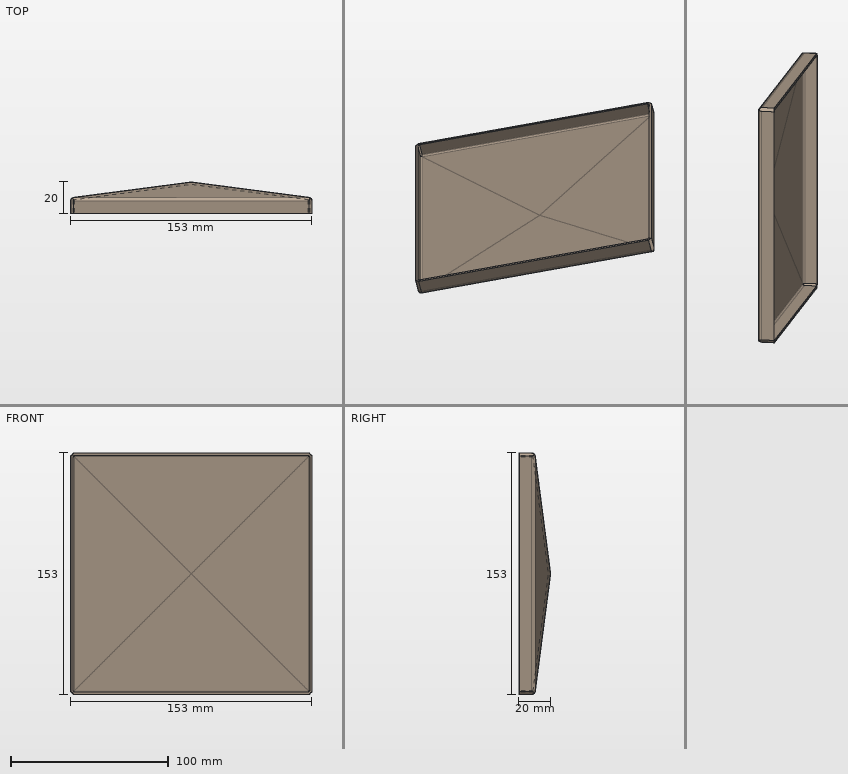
import cadquery as cq
import math

side = 153.0
total_height = 20.0
rim_height = 10.0
sheet = 1.5
inner_bend_radius = 1.0
corner_chamfer = 2.0

outer_bend_radius = inner_bend_radius + sheet
half_side = side / 2
slope = math.atan((total_height - rim_height) / half_side)


def roof_prism(half_width, eave, apex, bend_radius):
    """Gabled prism along Z whose walls bend smoothly into the roof."""
    half_bend_angle = (math.pi / 2 - slope) / 2
    bend_setback = bend_radius * math.tan(half_bend_angle)
    bend_start = eave - bend_setback
    bend_center_x = half_width - bend_radius
    mid_x = bend_center_x + bend_radius * math.cos(half_bend_angle)
    mid_y = bend_start + bend_radius * math.sin(half_bend_angle)
    end_x = half_width - bend_setback * math.cos(slope)
    end_y = eave + bend_setback * math.sin(slope)
    return (
        cq.Workplane("XY")
        .moveTo(-half_width, 0)
        .lineTo(half_width, 0)
        .lineTo(half_width, bend_start)
        .threePointArc((mid_x, mid_y), (end_x, end_y))
        .lineTo(0, apex)
        .lineTo(-end_x, end_y)
        .threePointArc((-mid_x, mid_y), (-half_width, bend_start))
        .close()
        .extrude(half_width, both=True)
    )


def pyramid_block(half_width, apex, bend_radius, chamfer):
    """Square block with a pyramid top, rounded eaves and flat corner cuts."""
    eave = apex - half_width * math.tan(slope)
    prism = roof_prism(half_width, eave, apex, bend_radius)
    crossing_prism = prism.rotate((0, 0, 0), (0, 1, 0), 90)
    corner_cut_bar = (
        cq.Workplane("XZ")
        .rect(2 * half_width, 2 * half_width)
        .extrude(-apex)
        .edges("|Y")
        .chamfer(chamfer)
    )
    return prism.intersect(crossing_prism).intersect(corner_cut_bar)


inner_apex = total_height - sheet / math.cos(slope)
inner_chamfer = corner_chamfer - sheet * (2 - math.sqrt(2))

outer_block = pyramid_block(half_side, total_height, outer_bend_radius, corner_chamfer)
cavity = pyramid_block(half_side - sheet, inner_apex, inner_bend_radius, inner_chamfer)

result = outer_block.cut(cavity)